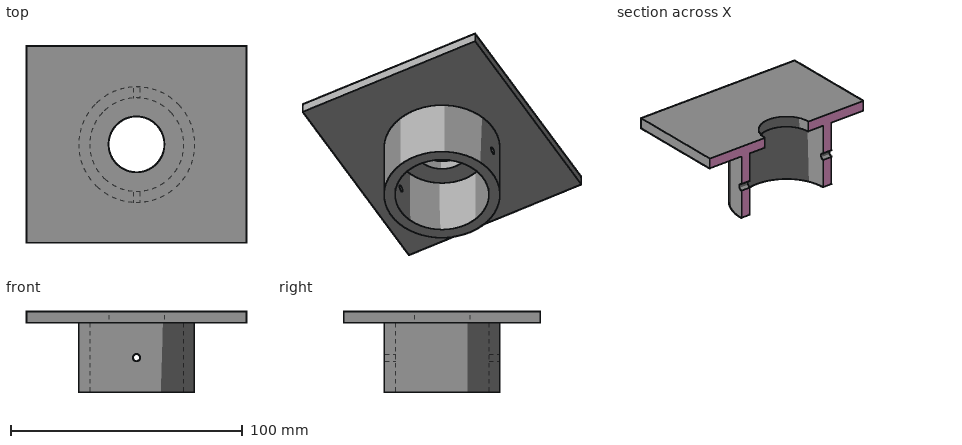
import cadquery as cq

plate_length = 95.0
plate_width = 85.0
plate_thickness = 5.0
plate_hole_diameter = 24.0

total_height = 35.0
socket_height = total_height - plate_thickness
socket_outer_diameter = 50.0
socket_bore_diameter = 40.5

pin_hole_diameter = 3.0
pin_hole_z = socket_height / 2


def make_plate():
    """Plate resting on top of the socket, with its central hole."""
    return (
        cq.Workplane("XY")
        .workplane(offset=socket_height)
        .rect(plate_length, plate_width)
        .circle(plate_hole_diameter / 2)
        .extrude(plate_thickness)
    )


def make_socket():
    """Tube standing on Z = 0 and reaching the underside of the plate."""
    return (
        cq.Workplane("XY")
        .circle(socket_outer_diameter / 2)
        .circle(socket_bore_diameter / 2)
        .extrude(socket_height)
    )


def make_pin_hole():
    """Cutter long enough to cross the whole socket along Y."""
    return (
        cq.Workplane("XZ")
        .center(0, pin_hole_z)
        .circle(pin_hole_diameter / 2)
        .extrude(socket_outer_diameter / 2, both=True)
    )


result = make_plate().union(make_socket()).cut(make_pin_hole())